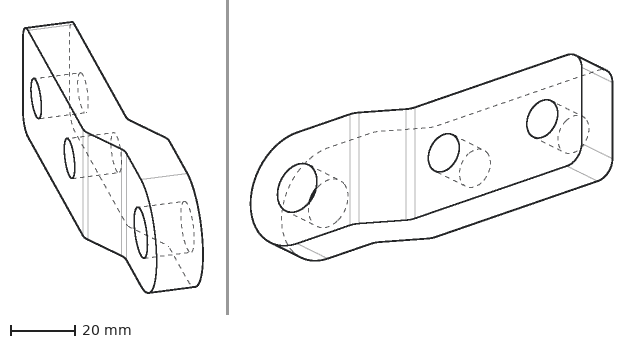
import cadquery as cq
import math

length = 127.0
height = 38.0
thickness = 15.0
offset = 9.0

bend_angle = math.radians(30)
bend_radius = 6.0
front_bend_start_x = 73.4

corner_radius = 6.0
end_radius = height / 2
eye_x = length - end_radius
eye_diameter = 16.0
mount_hole_diameter = 12.6
mount_hole_xs = (16.0, 56.0)

bend_run = offset / math.tan(bend_angle)
front_bend_end_x = front_bend_start_x + bend_run
back_shift = thickness * math.tan(bend_angle / 2)
back_bend_start_x = front_bend_start_x - back_shift
back_bend_end_x = front_bend_end_x - back_shift
width = thickness + offset
selection_margin = 1.3


def bent_bar():
    """Bar of full height with a rounded joggle, from the XY profile."""
    bar = (
        cq.Workplane("XY")
        .polyline([
            (0, 0),
            (front_bend_start_x, 0),
            (front_bend_end_x, offset),
            (length, offset),
            (length, width),
            (back_bend_end_x, width),
            (back_bend_start_x, thickness),
            (0, thickness),
        ])
        .close()
        .extrude(height / 2, both=True)
    )
    bend_edges = bar.edges("|Z").edges(
        cq.selectors.BoxSelector(
            (back_bend_start_x - selection_margin, -selection_margin, -height),
            (front_bend_end_x + selection_margin, width + selection_margin, height),
        )
    )
    return bend_edges.fillet(bend_radius)


def side_outline():
    """Plate through all Y with small corners at -X and a full round at +X."""
    plate = (
        cq.Workplane("XZ")
        .moveTo(0, -height / 2)
        .lineTo(eye_x, -height / 2)
        .threePointArc((length, 0), (eye_x, height / 2))
        .lineTo(0, height / 2)
        .close()
        .extrude(-width)
    )
    return plate.edges("|Y and <X").fillet(corner_radius)


def through_hole(x, diameter):
    """Cutter along Y, centred on the bar's height."""
    return cq.Workplane("XZ").center(x, 0).circle(diameter / 2).extrude(-width)


result = bent_bar().intersect(side_outline())
for hole_x in mount_hole_xs:
    result = result.cut(through_hole(hole_x, mount_hole_diameter))
result = result.cut(through_hole(eye_x, eye_diameter))